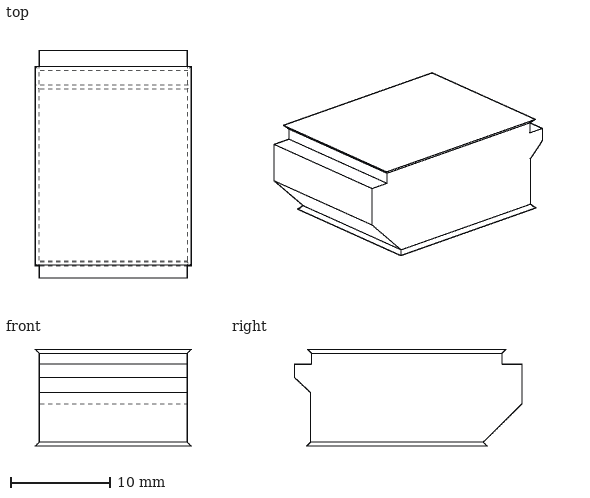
import cadquery as cq

LENGTH = 22.9
HEIGHT = 9.75
FLANGE_WIDTH = 15.7

RIM = 0.4
BODY_WIDTH = FLANGE_WIDTH - 2 * RIM

SHOULDER_DROP = 1.5
FRONT_SHOULDER = 1.7
REAR_SHOULDER = 2.0

NOSE_BOTTOM = 6.9
NOSE_ROOT = 5.4
FRONT_WALL = 1.6

REAR_SLOPE_TOP = 4.25
REAR_SLOPE_RUN = 3.9

FRONT = -LENGTH / 2
REAR = LENGTH / 2
SHOULDER_Z = HEIGHT - SHOULDER_DROP
TOP_FRONT = FRONT + FRONT_SHOULDER
TOP_REAR = REAR - REAR_SHOULDER
BASE_FRONT = FRONT + FRONT_WALL
BASE_REAR = REAR - REAR_SLOPE_RUN


def make_body():
    """Side profile between the two rims, extruded across the width."""
    profile = [
        (BASE_FRONT, RIM),
        (BASE_FRONT, NOSE_ROOT),
        (FRONT, NOSE_BOTTOM),
        (FRONT, SHOULDER_Z),
        (TOP_FRONT, SHOULDER_Z),
        (TOP_FRONT, HEIGHT - RIM),
        (TOP_REAR, HEIGHT - RIM),
        (TOP_REAR, SHOULDER_Z),
        (REAR, SHOULDER_Z),
        (REAR, REAR_SLOPE_TOP),
        (BASE_REAR, RIM),
    ]
    return cq.Workplane("YZ").polyline(profile).close().extrude(BODY_WIDTH / 2, both=True)


def make_rim(front, rear, body_z, outer_z):
    """Rim that flares from the body outline at body_z to the outer face at outer_z."""
    return (
        cq.Workplane("XY", origin=(0, (front + rear) / 2, body_z))
        .rect(BODY_WIDTH, rear - front)
        .workplane(offset=outer_z - body_z)
        .rect(FLANGE_WIDTH, rear - front + 2 * RIM)
        .loft(ruled=True)
    )


top_rim = make_rim(TOP_FRONT, TOP_REAR, HEIGHT - RIM, HEIGHT)
bottom_rim = make_rim(BASE_FRONT, BASE_REAR, RIM, 0)

result = make_body().union(top_rim).union(bottom_rim)